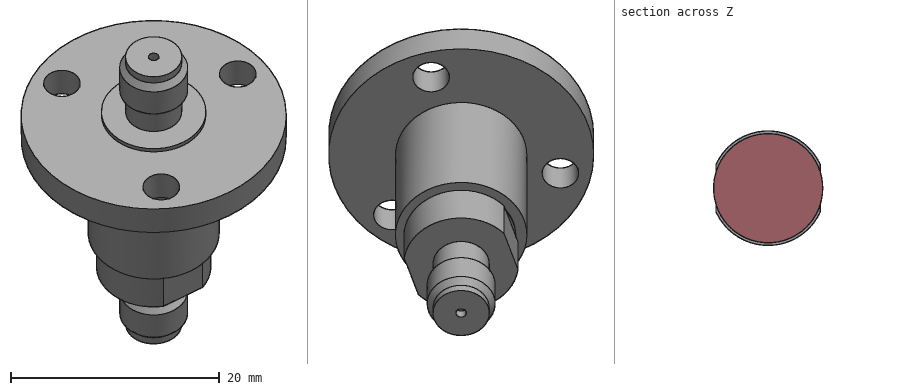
import cadquery as cq

total_length = 36.4
flange_diameter = 25.4

plug_diameter = 5.4
collar_diameter = 6.5
collar_outer_chamfer_start = 0.85
collar_start = 1.5
collar_end = 4.5
collar_inner_chamfer_end = 5.05
contact_bore_diameter = 1.0
contact_bore_depth = 1.0

wrench_bottom = 7.85
wrench_top = 12.3
body_bottom = 12.48
flange_bottom = 25.3
flange_top = 28.5
boss_top = 28.93

wrench_diameter = 11.0
wrench_across_flats = 10.0
relief_diameter = 10.48
body_diameter = 12.6
boss_diameter = wrench_across_flats

hole_count = 3
hole_diameter = 3.5
hole_circle_radius = 9.75
first_hole_angle = 90


def cylinder(diameter, bottom, top):
    """Vertical cylinder on the part axis."""
    return cq.Workplane("XY").workplane(offset=bottom).circle(diameter / 2).extrude(top - bottom)


def plug(length):
    """Plug standing on its tip at Z = 0, with a chamfered collar and a blind contact bore."""
    plug_radius = plug_diameter / 2
    collar_radius = collar_diameter / 2
    profile = [
        (0, 0),
        (plug_radius, 0),
        (plug_radius, collar_outer_chamfer_start),
        (collar_radius, collar_start),
        (collar_radius, collar_end),
        (plug_radius, collar_inner_chamfer_end),
        (plug_radius, length),
        (0, length),
    ]
    solid = cq.Workplane("XZ").polyline(profile).close().revolve(360, (0, 0, 0), (0, 1, 0))
    return solid.cut(cylinder(contact_bore_diameter, 0, contact_bore_depth))


def wrench_section():
    """Round section with two opposite flats facing -X and +X."""
    height = wrench_top - wrench_bottom
    flats = (
        cq.Workplane("XY")
        .workplane(offset=wrench_bottom)
        .rect(wrench_across_flats, wrench_diameter)
        .extrude(height)
    )
    return cylinder(wrench_diameter, wrench_bottom, wrench_top).intersect(flats)


def flange():
    """Round flange with evenly spaced through holes."""
    holes = (
        cq.Workplane("XY")
        .workplane(offset=flange_bottom)
        .polarArray(hole_circle_radius, first_hole_angle, 360, hole_count)
        .circle(hole_diameter / 2)
        .extrude(flange_top - flange_bottom)
    )
    return cylinder(flange_diameter, flange_bottom, flange_top).cut(holes)


lower_plug = plug(wrench_bottom)
upper_plug = plug(total_length - boss_top).mirror("XY").translate((0, 0, total_length))

result = (
    lower_plug
    .union(wrench_section())
    .union(cylinder(relief_diameter, wrench_top, body_bottom))
    .union(cylinder(body_diameter, body_bottom, flange_bottom))
    .union(flange())
    .union(cylinder(boss_diameter, flange_top, boss_top))
    .union(upper_plug)
)